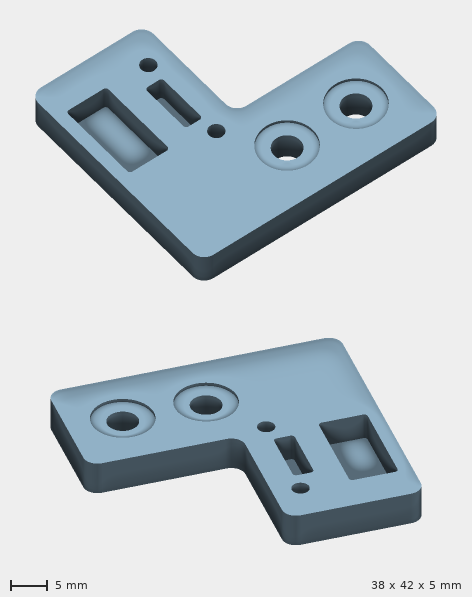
import cadquery as cq

width = 38.0
length = 42
thickness = 5.0
foot_length = 20.0
arm_offset = 20.0
corner_radius = 2.0

bore_diameter = 4.5
counterbore_diameter = 9.0
counterbore_depth = 0.5
bore_x = (arm_offset + width) / 2
upper_bore_y = 34
bore_spacing = 12.0

pin_diameter = 2.5
pin_y = 16.0
pin_spacing = 15.0
pin_center_x = 13.5

slot_length = 9.0
slot_width = 3.0
slot_depth = 4.0
window_length = 14.0
window_width = 7.0
window_depth = 4.0
window_center_x = 12.5
window_bottom_y = 2.0
pocket_radius = 0.5


def make_plate():
    outline = [
        (0, 0),
        (width, 0),
        (width, length),
        (arm_offset, length),
        (arm_offset, foot_length),
        (0, foot_length),
    ]
    plate = cq.Workplane("XY").polyline(outline).close().extrude(thickness)
    return plate.edges("|Z").fillet(corner_radius)


def make_pocket(size_x, size_y, depth, center_x, center_y):
    """Round-cornered cutter reaching down from the top face."""
    return (
        cq.Workplane("XY", origin=(center_x, center_y, thickness - depth))
        .rect(size_x, size_y)
        .extrude(depth)
        .edges("|Z")
        .fillet(pocket_radius)
    )


def top_plane(body):
    return body.faces(">Z").workplane(origin=(0, 0, thickness))


result = make_plate()

bore_centers = [(bore_x, upper_bore_y), (bore_x, upper_bore_y - bore_spacing)]
result = (
    top_plane(result)
    .pushPoints(bore_centers)
    .cboreHole(bore_diameter, counterbore_diameter, counterbore_depth)
)

pin_centers = [(pin_center_x + side * pin_spacing / 2, pin_y) for side in (-1, 1)]
result = top_plane(result).pushPoints(pin_centers).hole(pin_diameter)

slot_center_y = pin_y - slot_width / 2
result = result.cut(make_pocket(slot_length, slot_width, slot_depth, pin_center_x, slot_center_y))

window_center_y = window_bottom_y + window_width / 2
result = result.cut(
    make_pocket(window_length, window_width, window_depth, window_center_x, window_center_y)
)